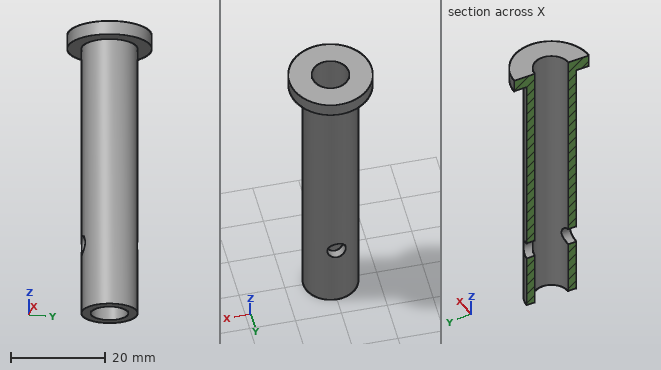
import cadquery as cq

total_length = 63.0
flange_diameter = 18.0
flange_thickness = 3.0
tube_diameter = 12.0
bore_diameter = 8.0

cross_hole_diameter = 4.05
cross_hole_height = 15.0

tube = cq.Workplane("XY").circle(tube_diameter / 2).extrude(total_length)
flange = (
    cq.Workplane("XY")
    .workplane(offset=total_length - flange_thickness)
    .circle(flange_diameter / 2)
    .extrude(flange_thickness)
)

bore = cq.Workplane("XY").circle(bore_diameter / 2).extrude(total_length)

cross_hole = (
    cq.Workplane("XZ")
    .center(0, cross_hole_height)
    .circle(cross_hole_diameter / 2)
    .extrude(tube_diameter, both=True)
)

result = tube.union(flange).cut(bore).cut(cross_hole)